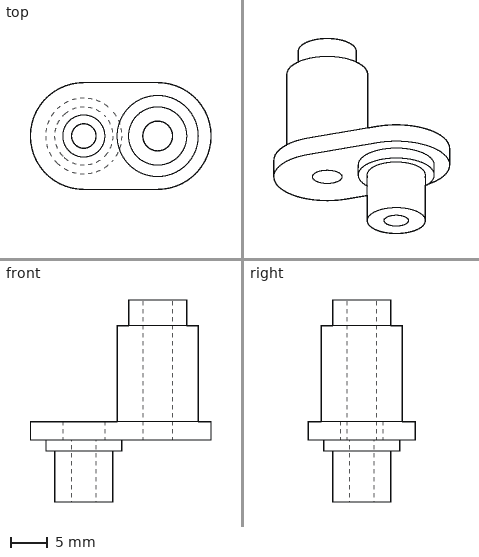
import cadquery as cq

plate_width = 14.5
center_spacing = 10.0
plate_thickness = 2.5

post_diameter = 11.0
post_height = 13.0
post_bore_diameter = 4.0

spigot_diameter = 7.9
tip_height = 3.5

flange_diameter = 10.3
flange_height = 1.5
pin_length = 6.9
pin_bore_diameter = 3.3
counterbore_diameter = 5.7
counterbore_depth = plate_thickness

post_x = center_spacing / 2
pin_x = -center_spacing / 2
post_top = plate_thickness + post_height
tip_top = post_top + tip_height
pin_bottom = -flange_height - pin_length


def cylinder(x, diameter, bottom, top):
    """Vertical cylinder centred at (x, 0), from bottom to top."""
    return (
        cq.Workplane("XY", origin=(x, 0, bottom))
        .circle(diameter / 2)
        .extrude(top - bottom)
    )


plate = (
    cq.Workplane("XY")
    .slot2D(center_spacing + plate_width, plate_width)
    .extrude(plate_thickness)
)

post = cylinder(post_x, post_diameter, 0, post_top)
tip = cylinder(post_x, spigot_diameter, post_top, tip_top)
post_bore = cylinder(post_x, post_bore_diameter, 0, tip_top)

flange = cylinder(pin_x, flange_diameter, -flange_height, 0)
pin = cylinder(pin_x, spigot_diameter, pin_bottom, -flange_height)
pin_bore = cylinder(pin_x, pin_bore_diameter, pin_bottom, plate_thickness)
counterbore = cylinder(
    pin_x, counterbore_diameter, plate_thickness - counterbore_depth, plate_thickness
)

body = plate.union(post).union(tip).union(flange).union(pin)
result = body.cut(post_bore).cut(pin_bore).cut(counterbore)